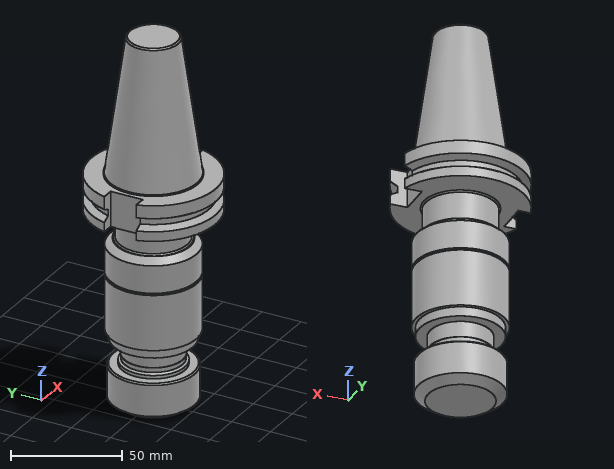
import cadquery as cq

total_height = 184.8
nut_top = 19.8
neck_bottom = 24.8
neck_top = 32.5
body_bottom = 37.2
body_top = 83.0
flange_bottom = 97.6
flange_top = 115.5

nut_diameter = 42.0
nut_face_diameter = 32.0
nut_bevel_height = 3.3
nut_edge_chamfer = 0.7

collar_diameter = 32.0
collar_height = 1.7
collar_bevel_height = 1.0
relief_diameter = 29.5
neck_diameter = 30.0

step_diameter = 40.5
body_diameter = 44.0
body_bevel_height = 3.0
body_top_diameter = 37.0
body_groove_diameter = 41.5
body_groove_bottom = 65.0
body_groove_width = 1.1

shank_diameter = 34.5
shank_root_chamfer = 0.7

flange_diameter = 63.5
grip_diameter = 56.5
grip_center = 105.7
grip_root_width = 3.0
grip_mouth_width = 6.7
slot_width = 16.5
left_slot_floor = 24.8
right_slot_floor = 22.4

taper_rim_diameter = 45.1
taper_rim_height = 0.5
taper_base_diameter = 44.4
taper_tip_diameter = 25.1
taper_tip_chamfer = 0.7


def solid_of_revolution(profile):
    """Revolve (diameter, height) points about the Z axis."""
    points = [(diameter / 2, height) for diameter, height in profile]
    bottom = points[0][1]
    top = points[-1][1]
    outline = cq.Workplane("XZ").polyline([(0, bottom)] + points + [(0, top)]).close()
    return outline.revolve(360, (0, 0, 0), (0, 1, 0))


def make_nut_and_neck():
    collar_top = nut_top + collar_height
    return solid_of_revolution([
        (nut_face_diameter, 0),
        (nut_diameter, nut_bevel_height),
        (nut_diameter, nut_top - nut_edge_chamfer),
        (nut_diameter - 2 * nut_edge_chamfer, nut_top),
        (collar_diameter, nut_top),
        (collar_diameter, collar_top),
        (relief_diameter, collar_top + collar_bevel_height),
        (relief_diameter, neck_bottom),
        (neck_diameter, neck_bottom),
        (neck_diameter, neck_top),
    ])


def make_body_and_shank():
    groove_top = body_groove_bottom + body_groove_width
    return solid_of_revolution([
        (step_diameter, neck_top),
        (step_diameter, body_bottom),
        (body_diameter, body_bottom),
        (body_diameter, body_groove_bottom),
        (body_groove_diameter, body_groove_bottom),
        (body_groove_diameter, groove_top),
        (body_diameter, groove_top),
        (body_diameter, body_top - body_bevel_height),
        (body_top_diameter, body_top),
        (shank_diameter + 2 * shank_root_chamfer, body_top),
        (shank_diameter, body_top + shank_root_chamfer),
        (shank_diameter, flange_bottom - shank_root_chamfer),
        (shank_diameter + 2 * shank_root_chamfer, flange_bottom),
    ])


def make_flange():
    flange = solid_of_revolution([
        (flange_diameter, flange_bottom),
        (flange_diameter, grip_center - grip_mouth_width / 2),
        (grip_diameter, grip_center - grip_root_width / 2),
        (grip_diameter, grip_center + grip_root_width / 2),
        (flange_diameter, grip_center + grip_mouth_width / 2),
        (flange_diameter, flange_top),
    ])
    flange_height = flange_top - flange_bottom
    for side, floor in ((-1, left_slot_floor), (1, right_slot_floor)):
        slot = (
            cq.Workplane("XY")
            .box(flange_diameter, slot_width, flange_height, centered=(True, True, False))
            .translate((side * (floor + flange_diameter / 2), 0, flange_bottom))
        )
        flange = flange.cut(slot)
    return flange


def make_taper():
    return solid_of_revolution([
        (taper_rim_diameter, flange_top),
        (taper_rim_diameter, flange_top + taper_rim_height),
        (taper_base_diameter, flange_top + taper_rim_height),
        (taper_tip_diameter, total_height - taper_tip_chamfer),
        (taper_tip_diameter - 2 * taper_tip_chamfer, total_height),
    ])


result = make_nut_and_neck().union(make_body_and_shank()).union(make_flange()).union(make_taper())